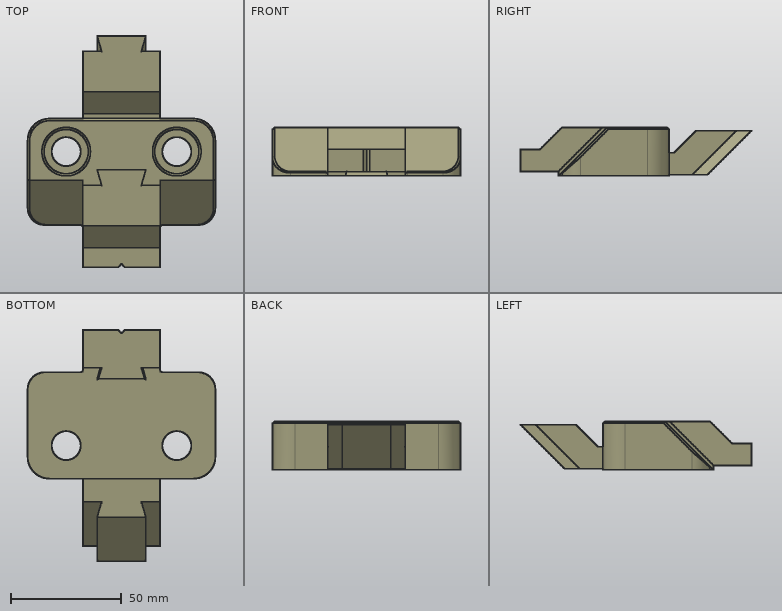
import cadquery as cq
import math

housing_width = 85.0
housing_height = 22.0
back_corner_radius = 10.0
front_corner_radius = 8.0
top_chamfer = 1.0
slope_top_y = -28.0
housing_front_y = -48.25
slope_chamfer = 1.0
slope_foot_z = housing_height + housing_front_y - slope_top_y
corner_x = housing_width / 2 - front_corner_radius
corner_y = housing_front_y + front_corner_radius
corner_steps = 12
cutter_overshoot = 0.5

hole_x = 25.0
hole_y = -15.0
hole_diameter = 13.0
counterbore_diameter = 20.0
counterbore_depth = 13.0
counterbore_chamfer = 1.0

jaw_width = 35.0
jaw_height = 20.0
jaw_top_length = 18.3
jaw_slope_drop = 10.0
front_tip_length = 8.85
dovetail_neck_width = 18.0
dovetail_back_width = 22.0
dovetail_length = 6.85
dovetail_flare = (dovetail_back_width - dovetail_neck_width) / 2 / dovetail_length
notch_width = 2.8
notch_depth = 1.5

pad_thickness = 1.5
pad_fillet = 1.0
groove_clearance = 0.15
groove_length = dovetail_length + groove_clearance

front_shoulder_y = slope_top_y - pad_thickness * math.sqrt(2)
front_jaw_bottom_z = housing_height - jaw_height
back_jaw_bottom_z = 0.5
back_tip_length = 2.13
back_shoulder_y = jaw_top_length + jaw_slope_drop + back_tip_length


def side_prism(profile, width):
    """Extrude a (Y, Z) outline along X, centred on X = 0."""
    return cq.Workplane("YZ").polyline(profile).close().extrude(width / 2, both=True)


def slanted_dovetail(shoulder_y, length, top_z, height):
    """Dovetail bar that runs down and forward at 45 degrees from its top outline."""
    back_y = shoulder_y + length
    back_x = dovetail_neck_width / 2 + length * dovetail_flare
    outline = [
        (-dovetail_neck_width / 2, shoulder_y),
        (-back_x, back_y),
        (back_x, back_y),
        (dovetail_neck_width / 2, shoulder_y),
    ]
    top_wire = cq.Wire.makePolygon([cq.Vector(x, y, top_z) for x, y in outline], close=True)
    slide = cq.Vector(0, -height, -height)
    return cq.Workplane(cq.Solid.extrudeLinear(top_wire, [], slide))


def slope_z(y):
    """Height of the slope's plane at a given Y."""
    return housing_height - (slope_top_y - y)


def make_jaw(shoulder_y, bottom_z, tip_length):
    """Slanted block with a flat tip in front and a dovetail on its back shoulder."""
    top_z = bottom_z + jaw_height
    slope_start_y = shoulder_y - jaw_top_length
    slope_end_y = slope_start_y - jaw_slope_drop
    tip_y = slope_end_y - tip_length
    body = side_prism([
        (shoulder_y, top_z),
        (slope_start_y, top_z),
        (slope_end_y, top_z - jaw_slope_drop),
        (tip_y, top_z - jaw_slope_drop),
        (tip_y, bottom_z),
        (shoulder_y - jaw_height, bottom_z),
    ], jaw_width)
    return body.union(slanted_dovetail(shoulder_y, dovetail_length, top_z, jaw_height))


def cut_tip_notch(jaw):
    """Cut the vertical V notch in the middle of the tip."""
    tip_y = jaw.val().BoundingBox().ymin
    notch = (
        cq.Workplane("XY")
        .polyline([(-notch_width / 2, tip_y), (0, tip_y + notch_depth), (notch_width / 2, tip_y)])
        .close()
        .extrude(housing_height)
    )
    return jaw.cut(notch)


def block_profile():
    """(Y, Z) outline of the block: flat top, 45 degree slope and short vertical front."""
    return [
        (0, 0),
        (0, housing_height),
        (slope_top_y, housing_height),
        (housing_front_y, slope_foot_z),
        (housing_front_y, 0),
    ]


def slope_chamfer_section(angle):
    """Triangle to cut away where the slope meets the wall, at one angle round the right front corner.

    Angle 0 is the end of the side wall and 90 degrees is the start of the front wall. The two
    touching points are those of a ball of the chamfer's size rolling inside along the edge.
    """
    out_x, out_y = math.cos(angle), -math.sin(angle)
    ball_radius = front_corner_radius - slope_chamfer
    ball_y = corner_y + ball_radius * out_y
    ball_z = slope_z(ball_y) - slope_chamfer * math.sqrt(2)
    ball = cq.Vector(corner_x + ball_radius * out_x, ball_y, ball_z)
    wall_normal = cq.Vector(out_x, out_y, 0)
    slope_normal = cq.Vector(0, -1, 1).normalized()
    wall_point = ball + wall_normal * slope_chamfer
    slope_point = ball + slope_normal * slope_chamfer
    overshoot = (slope_point - wall_point) * cutter_overshoot
    outside = ball + (wall_normal + slope_normal) * (2 * slope_chamfer)
    return [wall_point - overshoot, outside, slope_point + overshoot]


def make_corner_cutter():
    """Curved stretch of the slope chamfer: three ruled faces round the corner and two end triangles."""
    step = math.pi / 2 / corner_steps
    sections = [slope_chamfer_section(i * step) for i in range(corner_steps + 1)]
    rails = [cq.Edge.makeSpline(list(points)) for points in zip(*sections)]
    faces = [cq.Face.makeRuledSurface(rails[i - 1], rails[i]) for i in range(3)]
    for section in (sections[0], sections[-1]):
        faces.append(cq.Face.makeFromWires(cq.Wire.makePolygon(section, close=True)))
    return cq.Workplane(cq.Solid.makeSolid(cq.Shell.makeShell(faces)))


def make_straight_cutter(angle, run):
    """Straight stretch of the slope chamfer, leaving the corner at the given angle."""
    section = cq.Wire.makePolygon(slope_chamfer_section(angle), close=True)
    return cq.Workplane(cq.Solid.extrudeLinear(section, [], run))


def make_housing_block():
    block = side_prism(block_profile(), housing_width)
    block = block.edges("|Z and >Y").fillet(back_corner_radius)
    block = block.edges("|Z and <Y").fillet(front_corner_radius)
    block = block.faces(">Z").edges("not(|X and <Y)").chamfer(top_chamfer)
    side_run = slope_top_y + 2 * slope_chamfer - corner_y
    cutters = [
        make_straight_cutter(0, cq.Vector(0, side_run, side_run)),
        make_corner_cutter(),
        make_straight_cutter(math.pi / 2, cq.Vector(jaw_width / 2 + pad_fillet - corner_x, 0, 0)),
    ]
    for cutter in cutters:
        block = block.cut(cutter).cut(cutter.mirror("YZ"))
    return block


def make_pad_fillet():
    """Concave fillet in the right corner between the pad's side and the block's front wall."""
    pad_side_x = jaw_width / 2
    middle = pad_fillet * (1 - math.sqrt(0.5))
    fillet = (
        cq.Workplane("XY")
        .moveTo(pad_side_x, housing_front_y)
        .lineTo(pad_side_x, housing_front_y - pad_fillet)
        .threePointArc(
            (pad_side_x + middle, housing_front_y - middle),
            (pad_side_x + pad_fillet, housing_front_y),
        )
        .close()
        .extrude(slope_foot_z)
    )
    below_slope = side_prism([
        (housing_front_y, 0),
        (housing_front_y, slope_foot_z),
        (housing_front_y - slope_foot_z, 0),
    ], housing_width)
    return fillet.intersect(below_slope)


def make_pad():
    """Raised middle strip of the slope that carries the front jaw's shoulder."""
    bottom_front_y = front_shoulder_y - jaw_height
    return side_prism([
        (slope_top_y, housing_height),
        (front_shoulder_y, housing_height),
        (bottom_front_y, front_jaw_bottom_z),
        (bottom_front_y, 0),
        (slope_top_y, 0),
    ], jaw_width)


def cut_mounting_hole(housing, x):
    """Through hole with a counterbore and a chamfered rim."""
    top = housing_height
    hole = cq.Workplane("XY").center(x, hole_y).circle(hole_diameter / 2).extrude(top)
    bore = (
        cq.Workplane("XY", origin=(x, hole_y, top - counterbore_depth))
        .circle(counterbore_diameter / 2)
        .extrude(counterbore_depth)
    )
    rim = (
        cq.Workplane("XY", origin=(x, hole_y, top))
        .circle(counterbore_diameter / 2 + counterbore_chamfer)
        .extrude(-counterbore_chamfer, taper=45)
    )
    return housing.cut(hole).cut(bore).cut(rim)


pad_fillet_right = make_pad_fillet()
housing = make_housing_block().union(make_pad())
housing = housing.union(pad_fillet_right).union(pad_fillet_right.mirror("YZ"))
housing = housing.cut(slanted_dovetail(front_shoulder_y, groove_length, housing_height, housing_height))
for side in (-1, 1):
    housing = cut_mounting_hole(housing, side * hole_x)

front_jaw = cut_tip_notch(make_jaw(front_shoulder_y, front_jaw_bottom_z, front_tip_length))
back_jaw = make_jaw(back_shoulder_y, back_jaw_bottom_z, back_tip_length)

result = cq.Compound.makeCompound([body.solids().val() for body in (housing, front_jaw, back_jaw)])